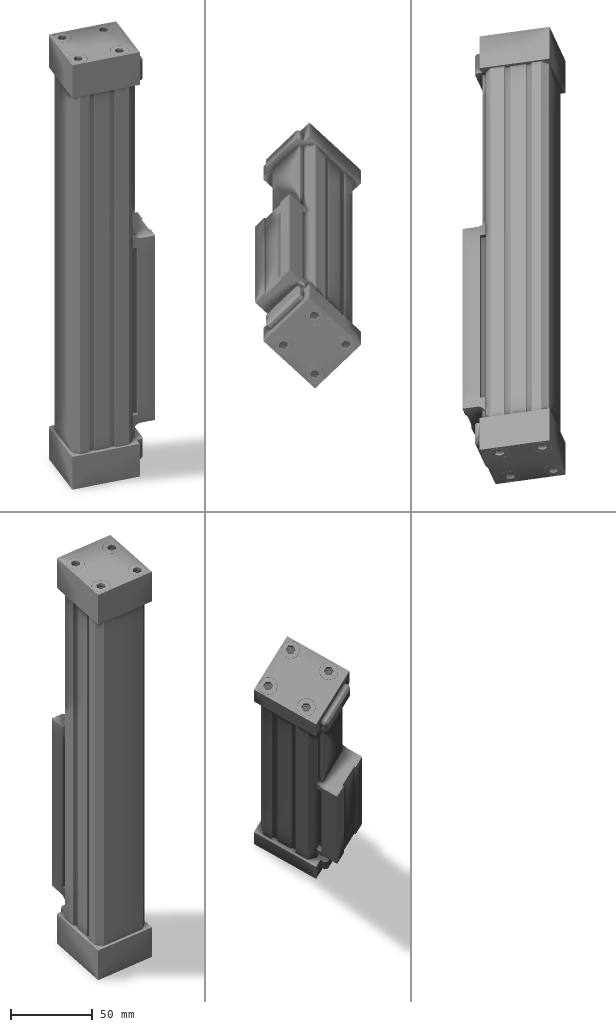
import cadquery as cq
import math


length = 300.0
cap_width = 40.0
cap_depth = 44.0
cap_height = 23.0
overall_depth = 56.0

tube_width = 37.0
tube_front = 1.8
tube_chamfer = 4.0
shoulder_y = 41.5
rail_width = 24.0
slot_width = 3.5
slot_depth = 1.8
front_slot_y = 13.5
back_slot_y = 27.0
web_recess = 1.0

screw_pitch = 27.0
screw_front_y = 6.3
counterbore_diameter = 11.5
screw_head_diameter = 11.0
head_gap_depth = 1.5
socket_across_corners = 6.0
socket_depth = 3.0
socket_drill_diameter = 4.0
socket_drill_depth = 4.0

pad_width = 29.5
pad_thickness = 4.5
pad_length = 15.0
pad_chamfer = 1.5

carriage_width = 30.0
carriage_bottom = 34.8
carriage_length = 130.5
lip_radius = 5.7
lip_thickness = 4.8
notch_length = 118.0
notch_width = 3.0
notch_clearance = 1.0
groove_width = 14.0
groove_depth = 1.0

tube_side = tube_width / 2
rail_side = rail_width / 2
carriage_middle = carriage_bottom + carriage_length / 2


def block(width, y_start, y_end, z_start, z_end):
    """Box centred on X between the given Y and Z limits."""
    return cq.Workplane("XY").box(
        width, y_end - y_start, z_end - z_start, centered=(True, False, False)
    ).translate((0, y_start, z_start))


def make_tube():
    """Chamfered profile with a rail on its back and two slots in each side.

    The web between the slots sits slightly below the rest of the side face.
    """
    half_outline = [
        (0, tube_front),
        (tube_side - tube_chamfer, tube_front),
        (tube_side, tube_front + tube_chamfer),
        (tube_side, shoulder_y - tube_chamfer),
        (tube_side - tube_chamfer, shoulder_y),
        (rail_side, shoulder_y),
        (rail_side, cap_depth),
        (0, cap_depth),
    ]
    tube = (
        cq.Workplane("XY").workplane(offset=cap_height)
        .polyline(half_outline).mirrorY()
        .extrude(length - 2 * cap_height)
    )
    web = block(2 * web_recess, front_slot_y, back_slot_y, 0, length)
    slots = [
        block(2 * slot_depth, slot_y - slot_width / 2, slot_y + slot_width / 2, 0, length)
        for slot_y in (front_slot_y, back_slot_y)
    ]
    for side in (-1, 1):
        for cutter in (web, *slots):
            tube = tube.cut(cutter.translate((side * tube_side, 0, 0)))
    return tube


def make_cap():
    """Lower end cap with its clamp pad and four flush socket screws,
    each ringed by a thin gap to its counterbore.
    """
    cap = block(cap_width, 0, cap_depth, 0, cap_height)

    pad = block(pad_width, cap_depth, cap_depth + pad_thickness, cap_height - pad_length, cap_height)
    pad = pad.edges("(|Z and >Y) or (|Y and <Z) or (|X and >Y and <Z)").chamfer(pad_chamfer)
    cap = cap.union(pad)

    screw_points = [
        (x, screw_front_y + y)
        for x in (-screw_pitch / 2, screw_pitch / 2)
        for y in (0, screw_pitch)
    ]
    screws = cq.Workplane("XY").pushPoints(screw_points)
    head_gaps = (
        screws.circle(counterbore_diameter / 2).circle(screw_head_diameter / 2).extrude(head_gap_depth)
    )
    sockets = screws.polygon(6, socket_across_corners).extrude(socket_depth)
    drills = screws.circle(socket_drill_diameter / 2).extrude(socket_drill_depth)
    return cap.cut(head_gaps).cut(sockets).cut(drills)


def make_housing():
    """Tube closed by two mirrored end caps."""
    bottom_cap = make_cap()
    top_cap = bottom_cap.mirror("XY", (0, 0, length / 2))
    return make_tube().union(bottom_cap).union(top_cap)


def make_carriage():
    """Slide that straddles the rail, with flared lips, side notches and a shallow back groove."""
    carriage_top = carriage_bottom + carriage_length
    lip_y = shoulder_y + lip_thickness
    lip_length = math.sqrt(lip_radius ** 2 - (lip_radius - lip_thickness) ** 2)
    carriage = (
        cq.Workplane("YZ").workplane(offset=-carriage_width / 2)
        .moveTo(overall_depth, carriage_bottom)
        .lineTo(lip_y, carriage_bottom)
        .radiusArc((shoulder_y, carriage_bottom - lip_length), -lip_radius)
        .lineTo(shoulder_y, carriage_top + lip_length)
        .radiusArc((lip_y, carriage_top), -lip_radius)
        .lineTo(overall_depth, carriage_top)
        .close().extrude(carriage_width)
    )

    carriage = carriage.cut(block(rail_width, shoulder_y, cap_depth, 0, length))
    carriage = carriage.cut(block(groove_width, overall_depth - groove_depth, overall_depth, 0, length))

    notch_bottom = carriage_middle - notch_length / 2
    notch = block(2 * notch_width, shoulder_y, cap_depth + notch_clearance,
                  notch_bottom, notch_bottom + notch_length)
    for side in (-1, 1):
        carriage = carriage.cut(notch.translate((side * carriage_width / 2, 0, 0)))
    return carriage


housing = make_housing()
carriage = make_carriage()

result = cq.Compound.makeCompound([housing.val(), carriage.val()])